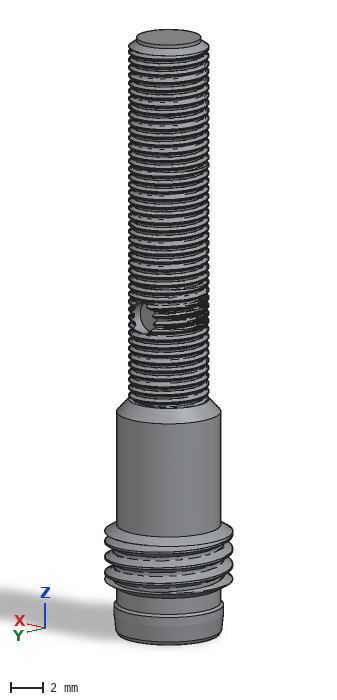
import cadquery as cq
import math

total_length = 38.2
foot_taper_start = 1.25
foot_rim_top = 1.85
foot_top = 2.0
collar_bottom = 3.0
collar_bevel = 0.42
collar_top = 6.95
collar_thread_bottom = collar_bottom + collar_bevel
collar_thread_top = collar_top - collar_bevel
shoulder_bevel_start = 14.2
stud_bottom = 15.0
stud_tip_height = 0.23
stud_tip_bevel = 0.35
stud_top = total_length - stud_tip_height - stud_tip_bevel
foot_edge_bevel = 0.23

collar_diameter = 8.0
body_diameter = 6.5
foot_diameter = 6.85
foot_edge_diameter = 6.6
foot_base_diameter = 6.35
stud_diameter = 5.0
stud_tip_diameter = 4.0

cross_hole_diameter = 2.0
cross_hole_depth = 1.0
cross_hole_height = 20.55

collar_pitch = collar_diameter / 8
stud_pitch = stud_diameter / 10
collar_groove_height = 4.25
stud_groove_height = 15.45
flank_angle = 30
crest_ratio = 1 / 8
root_ratio = 1 / 4
flank_steps = 4
stud_sections = 6
joint_tolerance = 0.005


def revolved(outline):
    """Revolve a list of (radius, height) points about the Z axis."""
    return cq.Workplane("XZ").polyline(outline).close().revolve(360, (0, 0), (0, 1))


def foot():
    """Plain end below the collar thread, with the lower collar bevel."""
    return revolved([
        (0, 0),
        (foot_base_diameter / 2, 0),
        (foot_edge_diameter / 2, foot_edge_bevel),
        (foot_diameter / 2, foot_taper_start),
        (foot_diameter / 2, foot_rim_top),
        (body_diameter / 2, foot_top),
        (body_diameter / 2, collar_bottom),
        (collar_diameter / 2, collar_thread_bottom),
        (0, collar_thread_bottom),
    ])


def body():
    """Plain barrel between the two threads, with the upper collar bevel."""
    return revolved([
        (0, collar_thread_top),
        (collar_diameter / 2, collar_thread_top),
        (body_diameter / 2, collar_top),
        (body_diameter / 2, shoulder_bevel_start),
        (stud_diameter / 2, stud_bottom),
        (0, stud_bottom),
    ])


def stud_tip():
    """Bevelled tip with a short plain rim."""
    return revolved([
        (0, stud_top),
        (stud_diameter / 2, stud_top),
        (stud_tip_diameter / 2, total_length - stud_tip_height),
        (stud_tip_diameter / 2, total_length),
        (0, total_length),
    ])


def cross_hole():
    """Flat-bottomed radial cutter entering from +Y."""
    floor = stud_diameter / 2 - cross_hole_depth
    floor_plane = cq.Workplane("XZ", origin=(0, floor, cross_hole_height))
    return floor_plane.circle(cross_hole_diameter / 2).extrude(-stud_diameter)


def polar(radius, angle):
    return radius * math.cos(angle), radius * math.sin(angle)


def threaded_rod(diameter, pitch, groove_height, bottom, top):
    """Thread with flat ends: its level cross-section, extruded with one turn per pitch."""
    slope = math.tan(math.radians(flank_angle))
    depth = pitch * (1 - crest_ratio - root_ratio) / 2 / slope
    crest_radius = diameter / 2
    root_radius = crest_radius - depth

    full_turn = 2 * math.pi
    half_root = full_turn * root_ratio / 2
    half_mouth = full_turn * (1 - crest_ratio) / 2

    def flank(start_radius, start_angle, end_radius, end_angle):
        """Points of an Archimedean spiral, leaving out its first point."""
        points = []
        for step in range(1, flank_steps + 1):
            part = step / flank_steps
            radius = start_radius + part * (end_radius - start_radius)
            points.append(polar(radius, start_angle + part * (end_angle - start_angle)))
        return points

    rising_flank = flank(root_radius, half_root, crest_radius, half_mouth)
    falling_flank = flank(crest_radius, -half_mouth, root_radius, -half_root)
    section = (
        cq.Workplane("XY")
        .moveTo(*polar(root_radius, -half_root))
        .threePointArc(polar(root_radius, 0), polar(root_radius, half_root))
        .spline(rising_flank, includeCurrent=True)
        .threePointArc(polar(crest_radius, math.pi), polar(crest_radius, -half_mouth))
        .spline(falling_flank, includeCurrent=True)
        .close()
    )
    height = top - bottom
    start_angle = 360 * (bottom - groove_height) / pitch
    rod = section.twistExtrude(height, 360 * height / pitch)
    return rod.rotate((0, 0, 0), (0, 0, 1), start_angle).translate((0, 0, bottom))


def joined(parts, joint_heights):
    """Stack parts into one solid by dropping the identical end faces where they meet."""
    skin = []
    for part in parts:
        for face in part.faces().vals():
            height = face.Center().z
            at_joint = any(abs(height - joint) < joint_tolerance for joint in joint_heights)
            if not (face.geomType() == "PLANE" and at_joint):
                skin.append(face)
    return cq.Workplane(cq.Solid.makeSolid(cq.Shell.makeShell(skin)))


collar = threaded_rod(
    collar_diameter, collar_pitch, collar_groove_height, collar_thread_bottom, collar_thread_top
)

stud_step = (stud_top - stud_bottom) / stud_sections
stud_levels = [stud_bottom + index * stud_step for index in range(stud_sections + 1)]
stud_parts = [
    threaded_rod(stud_diameter, stud_pitch, stud_groove_height, low, high)
    for low, high in zip(stud_levels, stud_levels[1:])
]

lower_part = foot()
for part in (collar, body(), stud_parts[0]):
    lower_part = lower_part.union(part, clean=False)
drilled_part = stud_parts[1].cut(cross_hole(), clean=False)
upper_part = stud_parts[-1].union(stud_tip(), clean=False)
result = joined([lower_part, drilled_part, *stud_parts[2:-1], upper_part], stud_levels[1:-1])